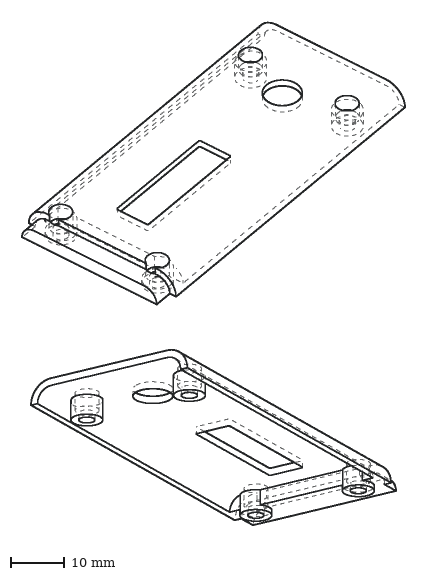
import cadquery as cq

width = 35.0
length = 74.0
cover_height = 4.5
tongue_length = 4.0
wall = 1.5
inner_width = width - 2 * wall
inner_height = cover_height - wall
back_y = length / 2
front_y = -length / 2
shoulder_y = front_y + tongue_length
tongue_overlap = 4.0

screw_x = 11.5
screw_back_gap = 10.0
screw_shoulder_gap = 2.0
screw_diameter = 3.0
head_diameter = 4.5
head_floor_z = 1.0
cone_depth = 0.5
post_diameter = 6.0
post_height = 0.95
screw_points = [
    (side * screw_x, y)
    for side in (-1, 1)
    for y in (back_y - screw_back_gap, shoulder_y + screw_shoulder_gap)
]

opening_width = 7.5
round_hole_back_gap = 15.0
slot_length = 25.4
slot_back_gap = 35.5
slot_corner_radius = 0.3


def rounded_bar(bar_width, height, y_start, y_end):
    """Bar along Y whose two upper edges are full-height quarter rounds."""
    half = bar_width / 2
    flat_half = half - height
    diagonal = height * 0.5 ** 0.5
    return (
        cq.Workplane("XZ", origin=(0, y_start, 0))
        .moveTo(-half, 0)
        .threePointArc((-flat_half - diagonal, diagonal), (-flat_half, height))
        .lineTo(flat_half, height)
        .threePointArc((flat_half + diagonal, diagonal), (half, 0))
        .close()
        .extrude(y_start - y_end)
    )


def cylinders(points, diameter, z_start, z_end):
    """Upright cylinders at the given points."""
    return (
        cq.Workplane("XY", origin=(0, 0, z_start))
        .pushPoints(points)
        .circle(diameter / 2)
        .extrude(z_end - z_start)
    )


def screw_seat(point):
    """Cone that narrows from the head recess down to the screw hole."""
    return (
        cq.Workplane("XY", origin=(*point, head_floor_z - cone_depth))
        .circle(screw_diameter / 2)
        .workplane(offset=cone_depth)
        .circle(head_diameter / 2)
        .loft(ruled=True)
    )


cover = rounded_bar(width, cover_height, shoulder_y, back_y)
cavity = rounded_bar(inner_width, inner_height, shoulder_y, back_y)
tongue = rounded_bar(inner_width, inner_height, front_y, shoulder_y + tongue_overlap)
result = cover.cut(cavity).union(tongue)

result = result.union(cylinders(screw_points, post_diameter, -post_height, inner_height))

result = result.cut(cylinders(screw_points, screw_diameter, -post_height, cover_height))
result = result.cut(cylinders(screw_points, head_diameter, head_floor_z, cover_height))
for screw_point in screw_points:
    result = result.cut(screw_seat(screw_point))

round_hole_point = (0, back_y - round_hole_back_gap)
result = result.cut(cylinders([round_hole_point], opening_width, 0, cover_height))
slot_center_y = back_y - slot_back_gap - slot_length / 2
slot = (
    cq.Workplane("XY", origin=(0, slot_center_y, 0))
    .rect(opening_width, slot_length)
    .extrude(cover_height)
    .edges("|Z")
    .fillet(slot_corner_radius)
)
result = result.cut(slot)